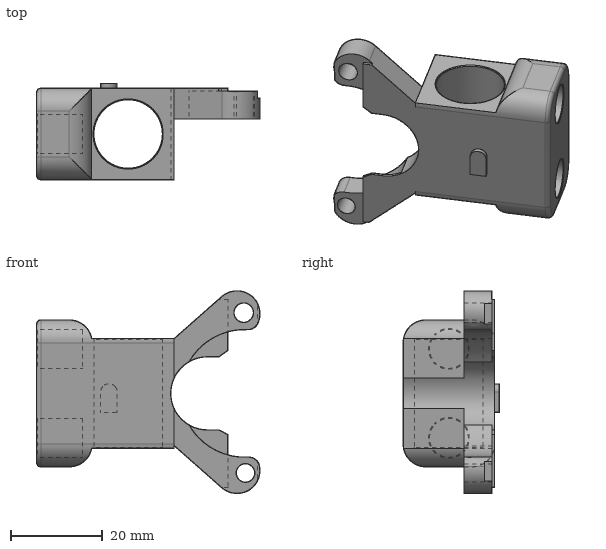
import cadquery as cq
import math


total_length = 48.75
total_depth = 21.0
total_height = 44.2

body_length = 30.0
body_depth = 20.0
head_height = 32.05
neck_height = 24.0
edge_radius = 5.0
head_length = 12.15
end_round = 1.0

main_bore_x = 20.0
main_bore_diameter = 14.9
main_bore_chamfer = 0.2
end_bore_diameter = 8.5
end_bore_spacing = 19.4
end_bore_depth = 10.0
end_bore_chamfer = 0.2

arm_mid_z = 0.27
arm_front_y = 13.25
plate_front_y = 19.35
arm_root_offset = 11.7
tip_radius = 5.0
tip_x = total_length - tip_radius
tip_offset = total_height / 2 - tip_radius
inner_arc_x = 45.35
inner_arc_radius = 13.9
tip_corner_radius = 2.5

tip_relief_x = 48.2
tip_relief_y = 17.8

arm_holes = [(45.2, 17.6, 4.2), (45.55, -17.35, 4.0)]

plate_end_x = 41.7
plate_height = 41.05

opening_x = 37.25
opening_radius = 7.95
flare_start_x = 39.75
flare_top_z = 9.35
flare_bottom_z = -8.95

stud_x = 15.8
stud_width = 3.6
stud_top_z = 2.1
stud_bottom_z = -4.15


def block(x_range, y_range, z_range):
    """Box spanning the given ranges."""
    (x0, x1), (y0, y1), (z0, z1) = x_range, y_range, z_range
    return cq.Workplane("XY").box(x1 - x0, y1 - y0, z1 - z0, centered=False).translate((x0, y0, z0))


def front_sketch(y):
    """Workplane with local X, Y along global X, Z; a negative extrusion goes toward +Y."""
    return cq.Workplane("XZ", origin=(0, y, 0))


def cylinder_y(x, z, radius, y0, y1):
    return front_sketch(y0).center(x, z).circle(radius).extrude(y0 - y1)


def make_body():
    half_head = head_height / 2
    half_neck = neck_height / 2
    bar = block((0, body_length), (0, body_depth), (-half_head, half_head))
    bar = bar.edges("|X").fillet(edge_radius)
    bar = bar.faces("<X").edges().fillet(end_round)

    head = block((0, head_length), (0, body_depth), (-half_head, half_head))
    head = head.faces(">X").edges("|Y").fillet(edge_radius)
    neck = block((0, body_length), (0, body_depth), (-half_neck, half_neck))
    return bar.intersect(head.union(neck))


def cut_bores(body):
    bore_center = (main_bore_x, body_depth / 2)
    bore_radius = main_bore_diameter / 2
    main_bore = (
        cq.Workplane("XY", origin=(*bore_center, -neck_height / 2))
        .circle(bore_radius)
        .extrude(neck_height)
    )
    body = body.cut(main_bore)
    for end, depth in ((neck_height / 2, -main_bore_chamfer), (-neck_height / 2, main_bore_chamfer)):
        countersink = (
            cq.Workplane("XY", origin=(*bore_center, end))
            .circle(bore_radius + main_bore_chamfer)
            .workplane(offset=depth)
            .circle(bore_radius)
            .loft()
        )
        body = body.cut(countersink)

    for side in (1, -1):
        end_bore = (
            cq.Workplane("YZ", origin=(0, body_depth / 2, side * end_bore_spacing / 2))
            .circle(end_bore_diameter / 2)
            .extrude(end_bore_depth)
        )
        end_countersink = (
            cq.Workplane("YZ", origin=(0, body_depth / 2, side * end_bore_spacing / 2))
            .circle(end_bore_diameter / 2 + end_bore_chamfer)
            .workplane(offset=end_bore_chamfer)
            .circle(end_bore_diameter / 2)
            .loft()
        )
        body = body.cut(end_bore).cut(end_countersink)
    return body


def arm_blank(side, y0, y1):
    """Arm with a straight outer edge running tangent into its round tip."""
    reach = tip_x - body_length
    rise = tip_offset - arm_root_offset
    outer_angle = math.atan2(rise, reach) + math.asin(tip_radius / math.hypot(reach, rise))
    tangent_x = tip_x - tip_radius * math.sin(outer_angle)
    tangent_z = tip_offset + tip_radius * math.cos(outer_angle)
    outline = [
        (body_length, 0),
        (body_length, arm_root_offset),
        (tangent_x, tangent_z),
        (tip_x, tip_offset),
        (tip_x, 0),
    ]
    outline = [(x, arm_mid_z + side * z) for x, z in outline]
    web = front_sketch(y0).polyline(outline).close().extrude(y0 - y1)
    return web.union(cylinder_y(tip_x, arm_mid_z + side * tip_offset, tip_radius, y0, y1))


def make_arm(side):
    arm = arm_blank(side, arm_front_y, plate_front_y)
    arm = arm.cut(cylinder_y(inner_arc_x, 0, inner_arc_radius, arm_front_y, plate_front_y))
    inner_corner = cq.selectors.NearestToPointSelector(
        (total_length, (arm_front_y + plate_front_y) / 2, side * inner_arc_radius)
    )
    arm = arm.edges("|Y").edges(inner_corner).fillet(tip_corner_radius)
    relief = block(
        (tip_relief_x, total_length), (tip_relief_y, plate_front_y), (-total_height, total_height)
    )
    return arm.cut(relief)


def make_plate(side):
    plate = arm_blank(side, plate_front_y, body_depth)
    limits = block(
        (body_length, plate_end_x), (plate_front_y, body_depth), (-plate_height / 2, plate_height / 2)
    )
    return plate.intersect(limits)


def make_opening():
    throat = [
        (opening_x, opening_radius),
        (flare_start_x, opening_radius),
        (plate_end_x, flare_top_z),
        (plate_end_x, flare_bottom_z),
        (flare_start_x, -opening_radius),
        (opening_x, -opening_radius),
    ]
    mouth = front_sketch(0).polyline(throat).close().extrude(-body_depth)
    return mouth.union(cylinder_y(opening_x, 0, opening_radius, 0, body_depth))


def make_stud():
    stud_radius = stud_width / 2
    straight_height = stud_top_z - stud_radius - stud_bottom_z
    return (
        front_sketch(body_depth)
        .moveTo(stud_x - stud_radius, stud_bottom_z)
        .lineTo(stud_x + stud_radius, stud_bottom_z)
        .line(0, straight_height)
        .threePointArc((stud_x, stud_top_z), (stud_x - stud_radius, stud_bottom_z + straight_height))
        .close()
        .extrude(body_depth - total_depth)
    )


result = cut_bores(make_body())
for arm_side in (1, -1):
    result = result.union(make_arm(arm_side)).union(make_plate(arm_side))
result = result.cut(make_opening())
for hole_x, hole_z, hole_diameter in arm_holes:
    result = result.cut(cylinder_y(hole_x, hole_z, hole_diameter / 2, 0, body_depth))
result = result.union(make_stud())